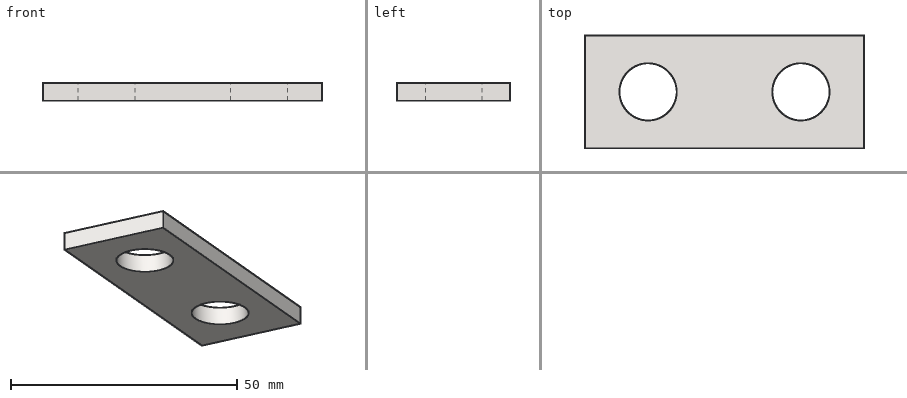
import cadquery as cq

length = 61.8
width = 25.0
thickness = 4.0

hole_diameter = 12.6
hole_spacing = 33.8

plate = cq.Workplane("XY").box(length, width, thickness)

result = (
    plate.faces(">Z")
    .workplane()
    .rarray(hole_spacing, 0.6, 2, 1)
    .hole(hole_diameter)
)